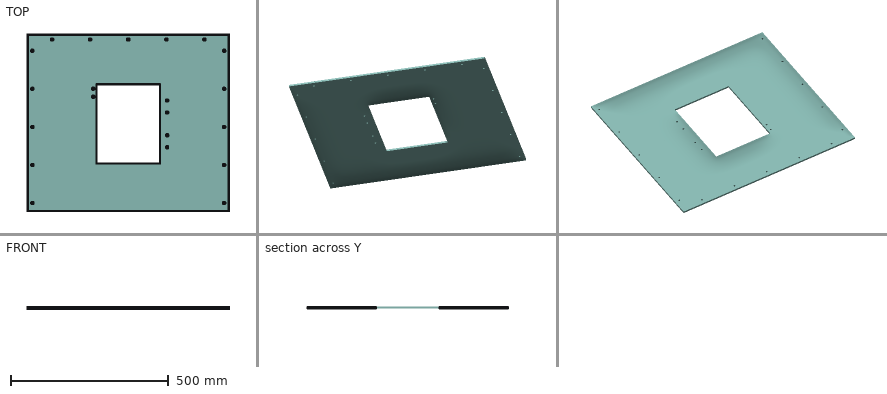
import cadquery as cq

plate_length = 638.0
plate_width = 559.0
plate_thickness = 6.5

opening_length = 200.5
opening_width = 250.0
opening_center_y = -3.0

hole_diameter = 6.0
hole_pitch = 120.5
holes_per_row = 5
edge_inset = 15.0
side_row_center_y = -13.0

left_hole_x = -111.0
left_hole_top_y = 108.5
left_hole_spacing = 25.5

right_hole_x = 123.0
right_inner_spacing = 72.0
right_outer_spacing = 148.0


def row_offsets():
    """Hole positions along a row, measured from its middle hole."""
    middle = (holes_per_row - 1) / 2
    return [(i - middle) * hole_pitch for i in range(holes_per_row)]


def edge_hole_points():
    """Hole centres along the back edge and both side edges."""
    back_y = plate_width / 2 - edge_inset
    side_x = plate_length / 2 - edge_inset
    points = [(offset, back_y) for offset in row_offsets()]
    for x in (-side_x, side_x):
        points += [(x, side_row_center_y + offset) for offset in row_offsets()]
    return points


def opening_hole_points():
    """Hole centres beside the opening."""
    points = [
        (left_hole_x, left_hole_top_y),
        (left_hole_x, left_hole_top_y - left_hole_spacing),
    ]
    for spacing in (right_inner_spacing, right_outer_spacing):
        for side in (-1, 1):
            points.append((right_hole_x, opening_center_y + side * spacing / 2))
    return points


plate = cq.Workplane("XY").box(plate_length, plate_width, plate_thickness)

opening = (
    cq.Workplane("XY")
    .center(0, opening_center_y)
    .rect(opening_length, opening_width)
    .extrude(plate_thickness, both=True)
)

holes = (
    cq.Workplane("XY")
    .pushPoints(edge_hole_points() + opening_hole_points())
    .circle(hole_diameter / 2)
    .extrude(plate_thickness, both=True)
)

result = plate.cut(opening).cut(holes)